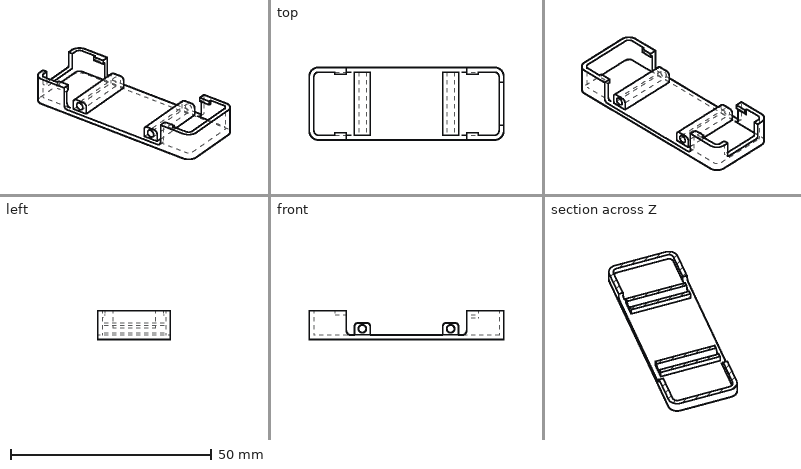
import cadquery as cq

length = 48.7
width = 18.2
height = 7.25
wall = 1.2
floor = 1.2
outer_radius = 2.4
inner_radius = outer_radius - wall

side_opening_length = 30.0
side_opening_radius = 1.0
end_opening_width = 10.7
end_opening_sill = 2.95
end_opening_radius = 0.3

tab_length = 2.95
tab_reach = 0.6
tab_thickness = 1.0
tab_support_drop = 0.75

rib_spacing = 22.05
rib_width = 4.05
rib_height = 3.0
rib_radius = 0.95
bore_diameter = 1.9

inner_length = length - 2 * wall
inner_width = width - 2 * wall


def block(size_x, size_y, size_z, x=0, z=0):
    """Box centred on (x, 0) with its base at height z."""
    box = cq.Workplane("XY").box(size_x, size_y, size_z, centered=(True, True, False))
    return box.translate((x, 0, z))


def make_tray():
    shell = block(length, width, height).edges("|Z").fillet(outer_radius)
    cavity = block(inner_length, inner_width, height, z=floor).edges("|Z").fillet(inner_radius)
    return shell.cut(cavity)


def make_side_opening():
    """Cutter through both long walls, down to the floor."""
    cutter = block(side_opening_length, 2 * width, height, z=floor)
    return cutter.edges("|Y and <Z").fillet(side_opening_radius)


def make_end_opening():
    """Cutter through the +X wall only, above a sill."""
    cutter = block(2 * wall, end_opening_width, height, x=length / 2, z=end_opening_sill)
    return cutter.edges("|X and <Z").fillet(end_opening_radius)


def make_tab(side_x, side_y, support_drop):
    """Tab at the top of a long wall, flush with the side opening; its underside drops toward the wall."""
    inner_face = inner_width / 2
    tip = inner_face - tab_reach
    tip_bottom = height - tab_thickness
    root_bottom = tip_bottom - support_drop
    outline = [
        (side_y * width / 2, height),
        (side_y * tip, height),
        (side_y * tip, tip_bottom),
        (side_y * inner_face, root_bottom),
        (side_y * width / 2, root_bottom),
    ]
    x = side_x * (side_opening_length + tab_length) / 2
    tab = cq.Workplane("YZ").polyline(outline).close().extrude(tab_length / 2, both=True)
    return tab.translate((x, 0, 0))


def make_rib(side_x):
    x = side_x * rib_spacing / 2
    rib = block(rib_width, inner_width, floor + rib_height, x)
    rib = rib.edges("|Y and >Z").fillet(rib_radius)
    bore = (
        cq.Workplane("XZ")
        .center(x, floor + rib_height / 2)
        .circle(bore_diameter / 2)
        .extrude(inner_width / 2, both=True)
    )
    return rib.cut(bore)


result = make_tray().cut(make_side_opening()).cut(make_end_opening())
for side_x in (-1, 1):
    result = result.union(make_rib(side_x))
    for side_y in (-1, 1):
        support_drop = tab_support_drop if side_x > 0 and side_y > 0 else 0
        result = result.union(make_tab(side_x, side_y, support_drop))